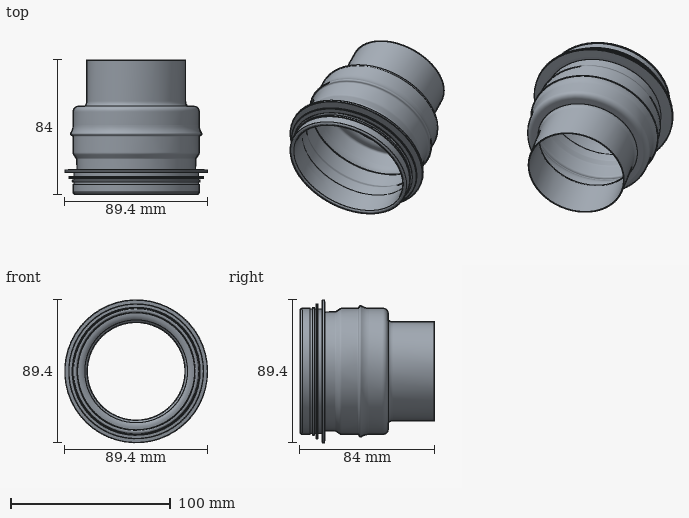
import cadquery as cq
import math

length = 84.0
sheet = 0.49

pipe_r = 62.1 / 2
body_r = 79.1 / 2
neck_r = 74.2 / 2
neck_wide_r = 37.4

hem_y = 6.3
hem_outer_r = body_r
hem_inner_r = neck_r - sheet
hem_fold_r = (hem_outer_r - hem_inner_r) / 2
hem_mid_r = (hem_outer_r + hem_inner_r) / 2

neck_taper_y = 9.7

neck_end_y = 21.9
cone_angle = math.radians(34)
neck_fillet = 1.1
body_fillet = 2.15

bead_y = 37.8
bead_tip_r = 41.15
bead_round = 0.9
bead_start_y = 36.0
bead_end_y = 43.2

shoulder_y = 55.2
shoulder_round = 3.4
shoulder_inner = 1.25
throat_y = 58.1
throat_round = 4.4

seal_start_y = hem_fold_r
seal_outer_r = hem_outer_r - sheet
seal_end_y = 15.6
flange_r = 44.7
flange_root_width = 1.9
flange_tip_width = 1.5
lip_r = 84.4 / 2
lip_y = 10.55
lip_root_width = 1.3
lip_tip_width = 1.1
fin_chamfer = 0.2
ridge_y = 8.4
ridge_round = 0.6
ridge_tip_r = 40.1

same_point = 8.94e-06


def on_circle(center, radius, angle):
    """Point at an angle from the radial direction toward +Y."""
    return (center[0] + radius * math.cos(angle), center[1] + radius * math.sin(angle))


def add_arc(outline, center, radius, start, end):
    """Run to the start of a circular arc unless already there, then along it."""
    first = on_circle(center, radius, start)
    middle = on_circle(center, radius, (start + end) / 2)
    last = on_circle(center, radius, end)
    last_item = outline.val()
    here = last_item.endPoint() if outline.ctx.pendingEdges else last_item
    if math.dist((here.x, here.y), first) > same_point:
        outline = outline.lineTo(*first)
    return outline.threePointArc(middle, last)


def revolve(outline):
    return outline.close().revolve(360, (0, 0, 0), (0, 1, 0))


def add_cone(outline, inset):
    """Neck to body, with both corners rounded."""
    neck_center = (neck_wide_r + neck_fillet, neck_end_y)
    neck_drop = neck_fillet * (1 - math.cos(cone_angle))
    body_drop = body_fillet * (1 - math.cos(cone_angle))
    cone_length = (body_r - neck_wide_r - neck_drop - body_drop) / math.tan(cone_angle)
    fillet_length = (neck_fillet + body_fillet) * math.sin(cone_angle)
    body_center = (body_r - body_fillet, neck_end_y + cone_length + fillet_length)
    outline = add_arc(outline, neck_center, neck_fillet + inset, math.pi, math.pi - cone_angle)
    return add_arc(outline, body_center, body_fillet - inset, -cone_angle, 0)


def bead_flank(edge_y):
    """Center and radius of the hollow arc tangent to the body and to the bead tip."""
    tip_height = bead_tip_r - bead_round - body_r
    rise = edge_y - bead_y
    radius = (rise**2 + tip_height**2 - bead_round**2) / (2 * (tip_height + bead_round))
    return (body_r + radius, edge_y), radius


def add_bead(outline, inset):
    """Bead tip between a steep flank and a long hollow flank."""
    tip = (bead_tip_r - bead_round, bead_y)
    low, low_radius = bead_flank(bead_start_y)
    high, high_radius = bead_flank(bead_end_y)
    low_angle = math.atan2(low[1] - tip[1], low[0] - tip[0])
    high_angle = math.atan2(high[1] - tip[1], high[0] - tip[0])
    outline = add_arc(outline, low, low_radius + inset, math.pi, math.pi + low_angle)
    outline = add_arc(outline, tip, bead_round - inset, low_angle, high_angle)
    return add_arc(outline, high, high_radius + inset, math.pi + high_angle, math.pi)


def start_wall(inset):
    outline = cq.Workplane("XY").moveTo(0, hem_fold_r).lineTo(neck_r - inset, hem_fold_r)
    outline = outline.lineTo(neck_r - inset, neck_taper_y)
    return add_bead(add_cone(outline, inset), inset)


def make_hem():
    center = (hem_mid_r, hem_fold_r)
    outline = cq.Workplane("XY").moveTo(hem_outer_r, hem_y)
    outline = add_arc(outline, center, hem_fold_r, 0, -math.pi)
    outline = outline.lineTo(hem_inner_r, hem_y).lineTo(neck_r, hem_y)
    outline = add_arc(outline, center, hem_fold_r - sheet, -math.pi, 0)
    return revolve(outline.lineTo(seal_outer_r, hem_y))


def make_sleeve():
    throat_center = (pipe_r + throat_round, throat_y)
    shoulder_center = (body_r - shoulder_round, shoulder_y - shoulder_round)
    shoulder_depth = throat_y - shoulder_y
    cut_angle = math.pi + math.asin(shoulder_depth / throat_round)

    outer = add_arc(start_wall(0), shoulder_center, shoulder_round, 0, math.pi / 2)
    outer = add_arc(outer, throat_center, throat_round, cut_angle, math.pi)
    outer = revolve(outer.lineTo(pipe_r, length).lineTo(0, length))

    throat_inner = throat_round + sheet
    inner_center = (body_r - sheet - shoulder_inner, throat_y - throat_inner - shoulder_inner)
    bore = add_arc(start_wall(sheet), inner_center, shoulder_inner, 0, math.pi / 2)
    bore = add_arc(bore, throat_center, throat_inner, 1.5 * math.pi, math.pi)
    bore = revolve(bore.lineTo(pipe_r - sheet, length).lineTo(0, length))
    return outer.cut(bore).union(make_hem())


def make_fin(tip_r, middle_y, root_width, tip_width):
    """Sealing disc that thins toward its tip."""
    root = root_width / 2
    tip = tip_width / 2
    outline = cq.Workplane("XY").moveTo(neck_wide_r, middle_y - root)
    outline = outline.lineTo(seal_outer_r, middle_y - root)
    outline = outline.lineTo(tip_r - fin_chamfer, middle_y - tip)
    outline = outline.lineTo(tip_r, middle_y - tip + fin_chamfer)
    outline = outline.lineTo(tip_r, middle_y + tip - fin_chamfer)
    outline = outline.lineTo(tip_r - fin_chamfer, middle_y + tip)
    outline = outline.lineTo(seal_outer_r, middle_y + root)
    return revolve(outline.lineTo(neck_wide_r, middle_y + root))


def make_ridge():
    center_r = ridge_tip_r - ridge_round
    outline = cq.Workplane("XY").moveTo(neck_wide_r, ridge_y - ridge_round)
    outline = add_arc(outline, (center_r, ridge_y), ridge_round, -math.pi / 2, math.pi / 2)
    return revolve(outline.lineTo(neck_wide_r, ridge_y + ridge_round))


def make_seal_base():
    """Band that lies on the tapered neck and reaches under the hem."""
    taper = (neck_wide_r - neck_r) / (neck_end_y - neck_taper_y)
    end_inner_r = neck_r + taper * (seal_end_y - neck_taper_y)
    outline = cq.Workplane("XY").moveTo(neck_r, seal_start_y).lineTo(seal_outer_r, seal_start_y)
    outline = outline.lineTo(seal_outer_r, seal_end_y).lineTo(end_inner_r, seal_end_y)
    return revolve(outline.lineTo(neck_r, neck_taper_y))


def make_seal():
    base = make_seal_base()
    flange_y = seal_end_y - flange_root_width / 2
    flange = make_fin(flange_r, flange_y, flange_root_width, flange_tip_width)
    lip = make_fin(lip_r, lip_y, lip_root_width, lip_tip_width)
    return base.union(flange).union(lip).union(make_ridge())


sleeve = make_sleeve()
seal = make_seal()
result = cq.Compound.makeCompound([sleeve.solids().val(), seal.solids().val()])